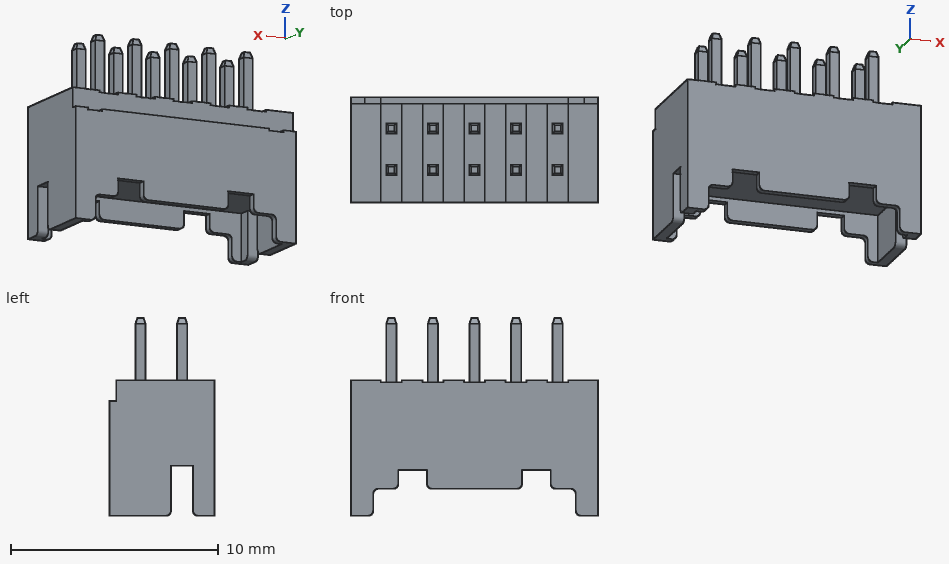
import cadquery as cq

housing_length = 11.9
housing_height = 6.53
front_y = -2.57
housing_depth = 4.74
ledge_depth = 0.33
ledge_drop = 1.0
shell_back_y = front_y + housing_depth + ledge_depth
ledge_height = housing_height - ledge_drop

ledge_notch_width = 0.77
ledge_notch_depth = 0.1
ledge_notch_end_offset = 0.67

long_wall = 0.4
end_wall = 0.57

corner_radius = 0.25
end_slot_near_y = front_y + 1.05
end_slot_width = 1.05
end_slot_height = 2.4
leg_width = 1.08
relief_height = 1.3
notch_inner_x = 2.29
notch_width = 1.37
notch_height = 2.2
cavity_height = end_slot_height

pins_per_row = 5
pitch = 2.0
pin_size = 0.5
pin_tip_size = 0.3
pin_tip_length = 0.3
pin_length = 3.0
groove_width = 1.0
groove_depth = 0.1
pin_xs = [(i - (pins_per_row - 1) / 2) * pitch for i in range(pins_per_row)]
row_ys = [-pitch / 2, pitch / 2]


def block(x_min, x_max, y_min, y_max, z_min, z_max):
    """Axis-aligned block between the given limits."""
    size = (x_max - x_min, y_max - y_min, z_max - z_min)
    return cq.Workplane("XY").box(*size, centered=False).translate((x_min, y_min, z_min))


def make_housing():
    """Solid body with the lower ledge along its rear face."""
    half = housing_length / 2
    body_back_y = front_y + housing_depth
    body = block(-half, half, front_y, body_back_y, 0, housing_height)
    ledge = block(-half, half, body_back_y, shell_back_y, 0, ledge_height)
    notch_start = half - ledge_notch_end_offset - ledge_notch_width
    notch = block(
        notch_start, notch_start + ledge_notch_width,
        body_back_y, shell_back_y,
        ledge_height - ledge_notch_depth, ledge_height,
    )
    return body.union(ledge.cut(notch).cut(notch.mirror("YZ")))


def make_cavity():
    """Rectangular mating cavity inside the walls."""
    half = housing_length / 2 - end_wall
    return block(-half, half, front_y + long_wall, shell_back_y - long_wall, 0, cavity_height)


def make_end_slot():
    """Slot through both end walls, flared by the rounded corners at its mouth."""
    near = end_slot_near_y
    far = near + end_slot_width
    r = corner_radius
    profile = (
        cq.Workplane("YZ")
        .moveTo(near - r, 0)
        .radiusArc((near, r), -r)
        .lineTo(near, end_slot_height)
        .lineTo(far, end_slot_height)
        .lineTo(far, r)
        .radiusArc((far + r, 0), -r)
        .close()
    )
    return profile.extrude(housing_length / 2, both=True)


def make_bottom_relief():
    """Relief between the end legs with two taller notches, cut through both long walls."""
    leg_x = housing_length / 2 - leg_width
    notch_outer_x = notch_inner_x + notch_width
    r = corner_radius
    half_profile = (
        cq.Workplane("XZ", origin=(0, shell_back_y, 0))
        .moveTo(0, 0)
        .lineTo(leg_x + r, 0)
        .radiusArc((leg_x, r), r)
        .lineTo(leg_x, relief_height - r)
        .radiusArc((leg_x - r, relief_height), -r)
        .lineTo(notch_outer_x + r, relief_height)
        .radiusArc((notch_outer_x, relief_height + r), r)
        .lineTo(notch_outer_x, notch_height)
        .lineTo(notch_inner_x, notch_height)
        .lineTo(notch_inner_x, relief_height + r)
        .radiusArc((notch_inner_x - r, relief_height), r)
        .lineTo(0, relief_height)
        .close()
    )
    half_relief = half_profile.extrude(shell_back_y - front_y)
    return half_relief.union(half_relief.mirror("YZ"))


def make_groove(x):
    """Standoff groove across the top face, centred on one pair of pins."""
    return block(
        x - groove_width / 2, x + groove_width / 2,
        front_y, front_y + housing_depth,
        housing_height - groove_depth, housing_height,
    )


def make_pin(x, y):
    """Square pin with a tapered tip, rooted in the groove floor."""
    shaft_length = pin_length + groove_depth - pin_tip_length
    shaft = (
        cq.Workplane("XY", origin=(x, y, housing_height - groove_depth))
        .rect(pin_size, pin_size)
        .extrude(shaft_length)
    )
    tip = (
        shaft.faces(">Z").workplane()
        .rect(pin_size, pin_size)
        .workplane(offset=pin_tip_length)
        .rect(pin_tip_size, pin_tip_size)
        .loft(combine=False)
    )
    return shaft.union(tip)


result = make_housing().cut(make_cavity()).cut(make_end_slot()).cut(make_bottom_relief())
for pin_x in pin_xs:
    result = result.cut(make_groove(pin_x))
    for row_y in row_ys:
        result = result.union(make_pin(pin_x, row_y))